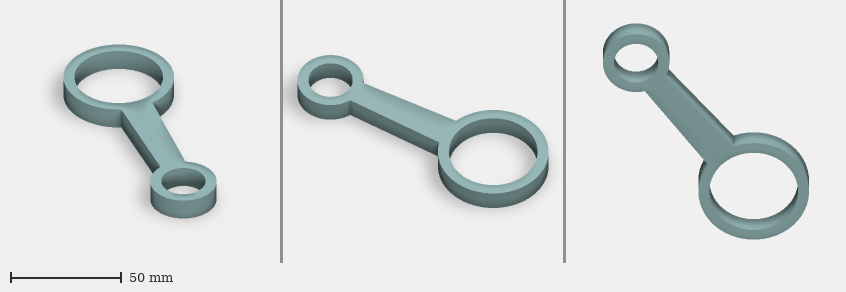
import cadquery as cq

thickness = 10.0
center_distance = 85.0
large_bore = 40.0
small_bore = 20.0
ring_wall = 5.0

arm_large_end_width = 15.0
arm_small_end_width = 12.0

large_outer_radius = large_bore / 2 + ring_wall
small_outer_radius = small_bore / 2 + ring_wall

arm_start = large_outer_radius - ring_wall / 4
arm_end = center_distance - small_outer_radius + ring_wall / 4


def disc(x, radius):
    """Full-thickness cylinder standing on the base plane at the given X."""
    return cq.Workplane("XY").center(x, 0).circle(radius).extrude(thickness)


arm = (
    cq.Workplane("XY")
    .polyline([
        (arm_start, -arm_large_end_width / 2),
        (arm_end, -arm_small_end_width / 2),
        (arm_end, arm_small_end_width / 2),
        (arm_start, arm_large_end_width / 2),
    ])
    .close()
    .extrude(thickness)
)

body = disc(0, large_outer_radius).union(arm).union(disc(center_distance, small_outer_radius))
result = body.cut(disc(0, large_bore / 2)).cut(disc(center_distance, small_bore / 2))